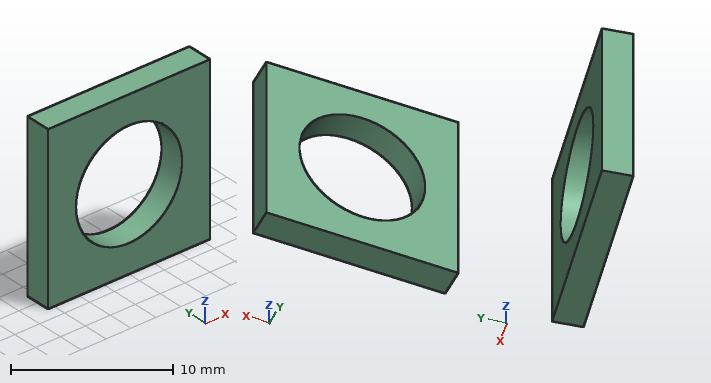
import cadquery as cq

side = 13.0
thickness = 2.0
hole_diameter = 8.5

plate = cq.Workplane("XZ").rect(side, side).extrude(thickness / 2, both=True)

result = plate.faces("<Y").workplane(centerOption="CenterOfBoundBox").hole(hole_diameter)